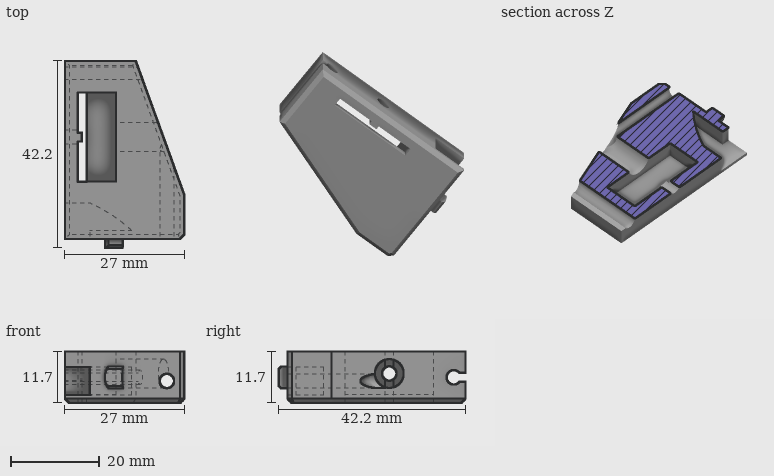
import cadquery as cq
import math

width = 27.0
height = 11.7
peg_length = 2.0
depth = 42.2 - peg_length
back_width = 16.05
taper_length = 30.25
edge_chamfer = 1.0
mid_height = height / 2

window_x = 2.95
window_width = 8.6
window_length = 20.05
window_center_y = depth - 17.2
window_floor = 2.0
slot_width = 2.0
tab_reach = 0.9
tab_width = 2.0

pin_diameter = 3.2
bore_diameter = 6.5
cross_hole_z = 6.7
front_hole_x = 23.05
front_hole_z = 5.02
clip_center_y = depth - 2.65
clip_mouth = 2.0

pocket_floor = 1.8
pocket_height = 6.4
pocket_depth = 8.2
pocket_mouth = 5.75
pocket_back_width = 5.6
pocket_lip = 2.0
pocket_arc_end = 15.05
pocket_arc_sag = 0.45

peg_left = 9.05
peg_right = 13.12
peg_height = 5.0
peg_bulge = 0.85
peg_hollow = 0.15
peg_chamfer = 0.6


def block(x, y, z, size_x, size_y, size_z):
    """Box placed by its lowest corner."""
    return cq.Workplane("XY").box(size_x, size_y, size_z, centered=False).translate((x, y, z))


def hole_along_x(y, z, diameter, start_x, end_x):
    plane = cq.Workplane("YZ", origin=(start_x, y, z))
    return plane.circle(diameter / 2).extrude(end_x - start_x)


def make_body():
    outline = [
        (0, 0),
        (width - edge_chamfer, 0),
        (width, edge_chamfer),
        (width, depth - taper_length),
        (back_width, depth),
        (0, depth),
    ]
    body = cq.Workplane("XY").polyline(outline).close().extrude(height)
    return body.faces("<Z").edges().chamfer(edge_chamfer)


def make_window():
    start_y = window_center_y - window_length / 2
    upper = block(window_x, start_y, window_floor, window_width, window_length, height - window_floor)
    slot = block(window_x, start_y, 0, slot_width, window_length, height)
    tab = block(window_x, window_center_y - tab_width / 2, 0, tab_reach, tab_width, height)
    return upper.union(slot).cut(tab)


def make_cross_holes():
    """Pin hole through the straight side, continued by a larger bore beyond the window."""
    pin = hole_along_x(window_center_y, cross_hole_z, pin_diameter, 0, window_x + window_width)
    bore = hole_along_x(window_center_y, cross_hole_z, bore_diameter, window_x + window_width, width)
    return pin.union(bore)


def make_clip_groove():
    """Round groove across the back, open through a narrower mouth."""
    groove = hole_along_x(clip_center_y, mid_height, pin_diameter, 0, width)
    mouth = block(0, clip_center_y, mid_height - clip_mouth / 2, width, depth - clip_center_y, clip_mouth)
    return groove.union(mouth)


def make_front_hole():
    plane = cq.Workplane("XZ", origin=(front_hole_x, 0, front_hole_z))
    return plane.circle(pin_diameter / 2).extrude(-depth)


def make_corner_pocket():
    """Pocket open at the front corner, running on behind a lip to a gently curved end wall."""
    chord_x = pocket_arc_end - pocket_back_width
    chord_y = pocket_depth - pocket_lip
    chord = math.hypot(chord_x, chord_y)
    arc_middle = (
        (pocket_back_width + pocket_arc_end) / 2 + pocket_arc_sag * chord_y / chord,
        (pocket_depth + pocket_lip) / 2 + pocket_arc_sag * chord_x / chord,
    )
    return (
        cq.Workplane("XY", origin=(0, 0, pocket_floor))
        .moveTo(0, 0)
        .lineTo(pocket_mouth, 0)
        .lineTo(pocket_mouth, pocket_lip)
        .lineTo(pocket_arc_end, pocket_lip)
        .threePointArc(arc_middle, (pocket_back_width, pocket_depth))
        .lineTo(0, pocket_depth)
        .close()
        .extrude(pocket_height)
    )


def make_peg():
    """Peg with a bulged left side, a hollowed right side and chamfered top and bottom ends."""
    half = peg_height / 2
    shoulder = peg_left + peg_bulge
    peg = (
        cq.Workplane("XZ", origin=(0, 0, mid_height))
        .moveTo(shoulder, -half)
        .lineTo(peg_right, -half)
        .threePointArc((peg_right - peg_hollow, 0), (peg_right, half))
        .lineTo(shoulder, half)
        .threePointArc((peg_left, 0), (shoulder, -half))
        .close()
        .extrude(peg_length)
    )
    end_half = half - peg_chamfer
    side_profile = [
        (0, -half),
        (peg_chamfer - peg_length, -half),
        (-peg_length, -end_half),
        (-peg_length, end_half),
        (peg_chamfer - peg_length, half),
        (0, half),
    ]
    envelope = cq.Workplane("YZ", origin=(0, 0, mid_height)).polyline(side_profile).close().extrude(width)
    return peg.intersect(envelope)


result = (
    make_body()
    .cut(make_window())
    .cut(make_cross_holes())
    .cut(make_clip_groove())
    .cut(make_front_hole())
    .cut(make_corner_pocket())
    .union(make_peg())
)